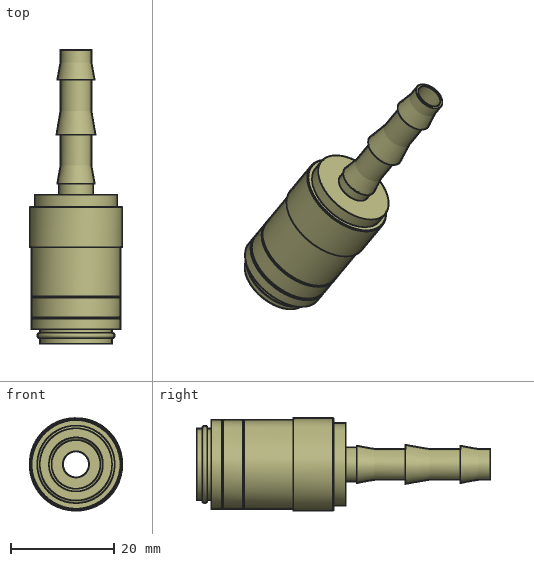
import cadquery as cq

LENGTH = 57.0

SPIGOT_RADIUS = 7.0
SHOULDER_Y = 2.8
RING_Y = 1.6
RING_SECTION_RADIUS = 0.5

SLEEVE_RADIUS = 8.65
COLLAR_RADIUS = 9.0
COLLAR_START_Y = 18.75
COLLAR_END_Y = 26.6
COLLAR_CHAMFER = 0.15
DISK_RADIUS = 8.05
DISK_END_Y = 28.95

SLEEVE_GROOVES = [(4.85, 0.35, 0.15), (8.95, 0.3, 0.1)]

STEM_RADIUS = 3.0
NECK_RADIUS = 3.35
BARBS = [(31.05, 34.55, 3.65), (40.5, 45.15, 3.8), (51.2, 54.6, 3.65)]
NECK_END_Y = BARBS[0][0]

SOCKET_RADIUS = 4.75
SOCKET_DEPTH = 22.8
MOUTH_CHAMFER = 0.5
BORE_RADIUS = 2.5


def revolve_profile(points):
    """Turn a closed (radius, Y) outline about the Y axis."""
    return cq.Workplane("XY").polyline(points).close().revolve(360, (0, 0, 0), (0, 1, 0))


def cone(start_y, end_y, start_radius, end_radius):
    """Solid cylinder or cone along Y."""
    return revolve_profile([(0, start_y), (start_radius, start_y), (end_radius, end_y), (0, end_y)])


def cylinder(start_y, end_y, radius):
    return cone(start_y, end_y, radius, radius)


def make_body():
    chamfer_y = COLLAR_END_Y - COLLAR_CHAMFER
    body = cylinder(0, COLLAR_START_Y, SPIGOT_RADIUS)
    body = body.union(cylinder(SHOULDER_Y, COLLAR_START_Y, SLEEVE_RADIUS))
    body = body.union(cylinder(COLLAR_START_Y, chamfer_y, COLLAR_RADIUS))
    body = body.union(cone(chamfer_y, COLLAR_END_Y, COLLAR_RADIUS, COLLAR_RADIUS - COLLAR_CHAMFER))
    body = body.union(cylinder(COLLAR_END_Y, DISK_END_Y, DISK_RADIUS))
    for start_y, width, depth in SLEEVE_GROOVES:
        end_y = start_y + width
        floor_radius = SLEEVE_RADIUS - depth
        groove = cylinder(start_y, end_y, COLLAR_RADIUS).cut(cylinder(start_y, end_y, floor_radius))
        body = body.cut(groove)
    return body


def make_ring():
    section = cq.Workplane("XY").center(SPIGOT_RADIUS, RING_Y).circle(RING_SECTION_RADIUS)
    return section.revolve(360, (-SPIGOT_RADIUS, 0, 0), (-SPIGOT_RADIUS, 1, 0))


def make_stem():
    stem = cylinder(DISK_END_Y, LENGTH, STEM_RADIUS)
    stem = stem.union(cylinder(DISK_END_Y, NECK_END_Y, NECK_RADIUS))
    for wide_y, narrow_y, wide_radius in BARBS:
        stem = stem.union(cone(wide_y, narrow_y, wide_radius, STEM_RADIUS))
    return stem


def make_cavity():
    cavity = cylinder(0, LENGTH, BORE_RADIUS)
    cavity = cavity.union(cylinder(0, SOCKET_DEPTH, SOCKET_RADIUS))
    return cavity.union(cone(0, MOUTH_CHAMFER, SOCKET_RADIUS + MOUTH_CHAMFER, SOCKET_RADIUS))


result = make_body().union(make_ring()).union(make_stem()).cut(make_cavity())